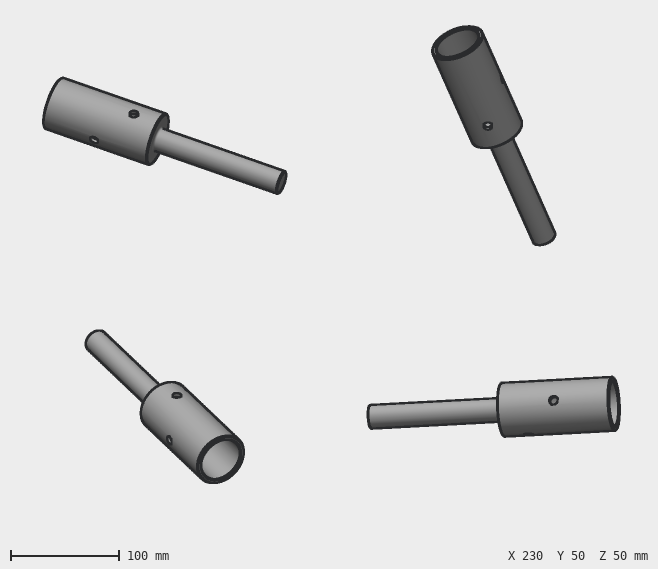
import cadquery as cq

total_length = 230.0
socket_length = 105.0
socket_diameter = 50.0
bore_diameter = 41.0
shank_diameter = 22.0
end_wall = 10.1
bore_depth = socket_length - end_wall

socket_chamfer = 1.0
bore_chamfer = 1.0
shank_chamfer = 1.0
shank_root_fillet = 1.8

recess_depth = 1.2

cross_hole_diameter = 8.0
y_hole_position = 51.8
z_hole_position = 80.7


def body_of_revolution():
    """Solid socket and shank, with the fillet between them."""
    socket_radius = socket_diameter / 2
    shank_radius = shank_diameter / 2
    return (
        cq.Workplane("XY")
        .moveTo(0, 0)
        .lineTo(0, socket_radius - socket_chamfer)
        .lineTo(socket_chamfer, socket_radius)
        .lineTo(socket_length - socket_chamfer, socket_radius)
        .lineTo(socket_length, socket_radius - socket_chamfer)
        .lineTo(socket_length, shank_radius + shank_root_fillet)
        .radiusArc((socket_length + shank_root_fillet, shank_radius), -shank_root_fillet)
        .lineTo(total_length - shank_chamfer, shank_radius)
        .lineTo(total_length, shank_radius - shank_chamfer)
        .lineTo(total_length, 0)
        .close()
        .revolve(360, (0, 0, 0), (1, 0, 0))
    )


def bore():
    """Blind bore with a chamfered mouth and a conical recess in its floor."""
    bore_radius = bore_diameter / 2
    recess_floor_radius = shank_diameter / 2
    return (
        cq.Workplane("XY")
        .moveTo(0, 0)
        .lineTo(0, bore_radius + bore_chamfer)
        .lineTo(bore_chamfer, bore_radius)
        .lineTo(bore_depth, bore_radius)
        .lineTo(bore_depth, recess_floor_radius + recess_depth)
        .lineTo(bore_depth + recess_depth, recess_floor_radius)
        .lineTo(bore_depth + recess_depth, 0)
        .close()
        .revolve(360, (0, 0, 0), (1, 0, 0))
    )


def cross_hole(plane, position):
    """Cylinder that crosses the whole socket, normal to the given plane."""
    return (
        cq.Workplane(plane, origin=(position, 0, 0))
        .circle(cross_hole_diameter / 2)
        .extrude(socket_diameter, both=True)
    )


result = body_of_revolution().cut(bore())
result = result.cut(cross_hole("XZ", y_hole_position))
result = result.cut(cross_hole("XY", z_hole_position))